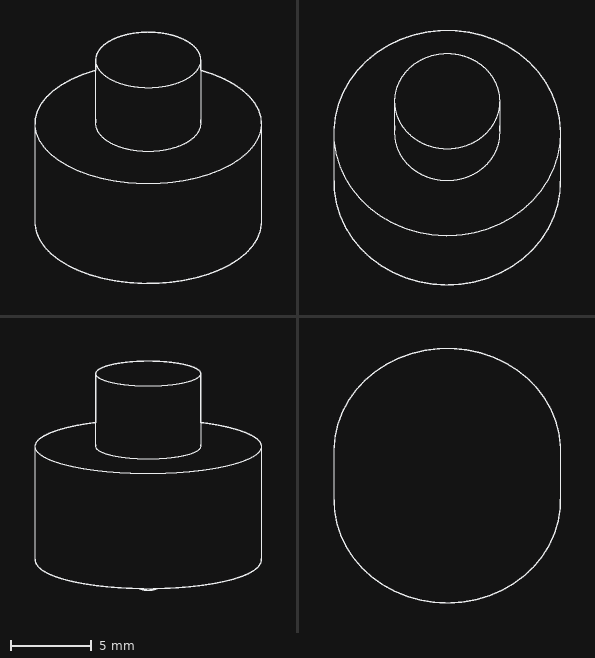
import cadquery as cq
import math

overall_height = 13.76
body_radius = 14 / 2
post_radius = 6.5 / 2
post_height = 4.63
rim_round = 0.21
cone_angle = math.radians(10.6)
cone_inner_radius = 3.55
tip_edge_radius = 0.63
tip_angle = math.radians(27)


def round_point(center_radius, center_z, radius, slope):
    """Point of a downward-facing round at which its surface has the given slope."""
    return (center_radius + radius * math.sin(slope), center_z - radius * math.cos(slope))


tip_round = tip_edge_radius / math.sin(tip_angle)
tip_edge = round_point(0, tip_round, tip_round, tip_angle)
tip_middle = round_point(0, tip_round, tip_round, tip_angle / 2)

blend_slope = math.tan((cone_angle + tip_angle) / 2)
blend_end = (cone_inner_radius, tip_edge[1] + (cone_inner_radius - tip_edge_radius) * blend_slope)

rim_center_radius = body_radius - rim_round
cone_outer_radius = rim_center_radius + rim_round * math.sin(cone_angle)
cone_outer_z = blend_end[1] + (cone_outer_radius - cone_inner_radius) * math.tan(cone_angle)
wall_bottom_z = cone_outer_z + rim_round * math.cos(cone_angle)
rim_middle = round_point(rim_center_radius, wall_bottom_z, rim_round, (cone_angle + math.pi / 2) / 2)

shoulder_z = overall_height - post_height

profile = (
    cq.Workplane("XZ")
    .moveTo(0, 0)
    .threePointArc(tip_middle, tip_edge)
    .tangentArcPoint(blend_end, relative=False)
    .lineTo(cone_outer_radius, cone_outer_z)
    .threePointArc(rim_middle, (body_radius, wall_bottom_z))
    .lineTo(body_radius, shoulder_z)
    .lineTo(post_radius, shoulder_z)
    .lineTo(post_radius, overall_height)
    .lineTo(0, overall_height)
    .close()
)

result = profile.revolve(360, (0, 0, 0), (0, 1, 0))